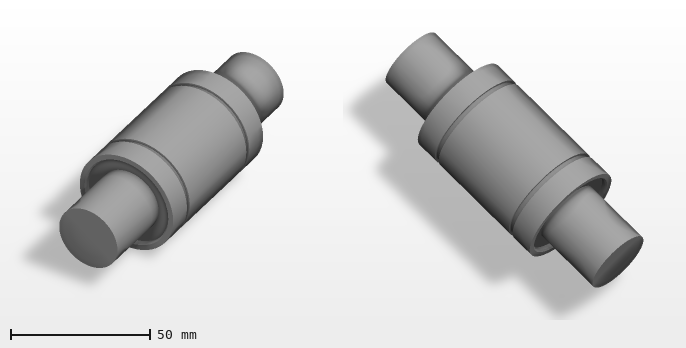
import cadquery as cq

shaft_length = 109.0
shaft_diameter = 25.0

body_length = 59.0
body_diameter = 40.0

groove_diameter = 38.0
groove_width = 2.0
groove_inset = 9.0

recess_diameter = 34.8
recess_depth = 2.0
recess_chamfer = 0.5


def cylinder(diameter, length, start):
    """Solid cylinder along +Y, beginning at Y = start."""
    base = cq.Workplane("XZ", origin=(0, start, 0))
    return base.circle(diameter / 2).extrude(-length)


def groove_cutter(start):
    """Ring that leaves the groove diameter inside the body."""
    return cylinder(body_diameter, groove_width, start).cut(
        cylinder(groove_diameter, groove_width, start)
    )


def recess_cutter():
    """Disc with a flared mouth at the +Y end face of the body."""
    face = body_length / 2
    floor = face - recess_depth
    radius = recess_diameter / 2
    profile = [
        (0, floor),
        (radius, floor),
        (radius, face - recess_chamfer),
        (radius + recess_chamfer, face),
        (0, face),
    ]
    half_section = cq.Workplane("XY").polyline(profile).close()
    return half_section.revolve(360, (0, 0, 0), (0, 1, 0))


body = cylinder(body_diameter, body_length, -body_length / 2)

groove_start = body_length / 2 - groove_inset - groove_width
end_cutters = [groove_cutter(groove_start), recess_cutter()]
for cutter in end_cutters:
    body = body.cut(cutter).cut(cutter.mirror("XZ"))

result = body.union(cylinder(shaft_diameter, shaft_length, -shaft_length / 2))